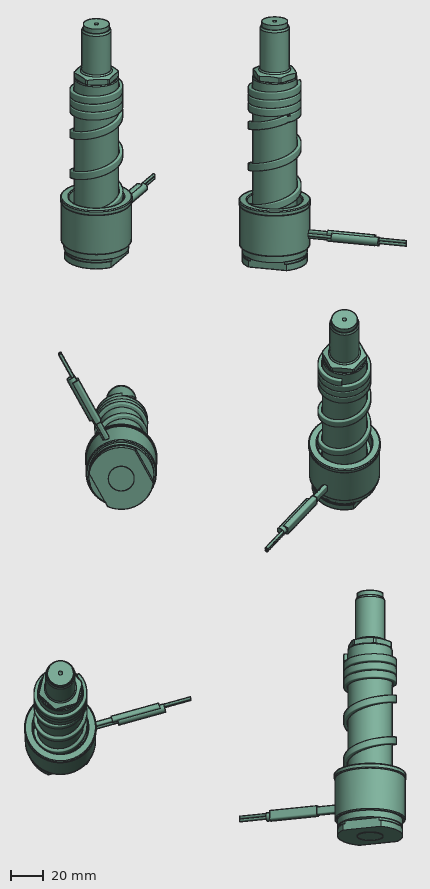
import cadquery as cq
import math

PART_TOP = 156.3
FOOT_BOTTOM = 0.5
FOOT_TOP = 4.5
NECK_TOP = 6.3
CUP_BOTTOM = 10.5
SPRING_SEAT = 11.0
CUP_LIP_BOTTOM = 37.0
CUP_TOP = 40.3
TUBE_TOP = 120.7
NUT_TOP = 125.0
ROOT_TOP = 126.0
SHANK_TOP = 152.0
TIP_BOTTOM = 153.3

CORE_RADIUS = 8.0
SHANK_RADIUS = 9.0
NUT_FACE_RADIUS = 9.8
NUT_CORNER_RADIUS = 13.6
TUBE_RADIUS = 13.6
NECK_RADIUS = 19.2
FOOT_RADIUS = 20.0
POCKET_RADIUS = 16.9
CUP_RADIUS = 21.5
LIP_RADIUS = 22.0
CENTRE_MARK_RADIUS = 1.3
CENTRE_MARK_DEPTH = 1.3

NUT_ACROSS_FLATS = 24.2
NUT_CONE_DROP = 1.1
FOOT_ACROSS_FLATS = 31.7
EDGE_BREAK = 0.6

SPRING_OUTER_RADIUS = 16.3
SPRING_INNER_RADIUS = 14.0
WIRE_HEIGHT = 4.7
WIRE_CORNER = 0.5
CLOSE_PITCH = 5.3
OPEN_PITCH = 26.9
SPRING_TOP_ANGLE = 120.0
UPPER_KINK_ANGLE = 45.0
CLOSE_TURNS = 3 + (SPRING_TOP_ANGLE - UPPER_KINK_ANGLE) / 360
OPEN_TURNS = 2.5
SPRING_SINK = 0.2

CABLE_Z = 19.4
CABLE_X = -1.4
CABLE_START = 18.8
CABLE_WIDTH = 2.8
CABLE_HEIGHT = 5.0
CABLE_CORNER = 0.6
JACKET_X = -1.5
JACKET_START = 33.3
JACKET_END = 63.6
JACKET_WIDTH = 3.9
JACKET_HEIGHT = 6.4
JACKET_CORNER = 1.1
SLEEVE_START = 36.5
SLEEVE_END = 66.5
SLEEVE_RADIUS = 2.7
SINGLE_WIRE_X = 0.3
WIRE_DIAMETER = 1.9
LEAD_END = 83.5


def disc(radius, bottom, top):
    return cq.Workplane("XY").workplane(offset=bottom).circle(radius).extrude(top - bottom)


def cone(bottom_radius, top_radius, bottom, top):
    return cq.Workplane(cq.Solid.makeCone(bottom_radius, top_radius, top - bottom, cq.Vector(0, 0, bottom)))


def make_foot():
    """Flanged foot with two flats facing -X and +X."""
    foot = disc(FOOT_RADIUS, FOOT_BOTTOM, FOOT_TOP).union(disc(NECK_RADIUS, FOOT_TOP, NECK_TOP))
    height = NECK_TOP - FOOT_BOTTOM
    flats = cq.Workplane("XY").box(FOOT_ACROSS_FLATS, 2 * FOOT_RADIUS, height)
    return foot.intersect(flats.translate((0, 0, FOOT_BOTTOM + height / 2)))


def make_cup():
    """Cup with a lip and a spring pocket chamfered at its mouth."""
    body = disc(CUP_RADIUS, CUP_BOTTOM, CUP_LIP_BOTTOM).faces("<Z").chamfer(EDGE_BREAK)
    lip = disc(LIP_RADIUS, CUP_LIP_BOTTOM, CUP_TOP).edges().chamfer(EDGE_BREAK)
    pocket = disc(POCKET_RADIUS, SPRING_SEAT, CUP_TOP)
    lead_in = cone(POCKET_RADIUS, POCKET_RADIUS + EDGE_BREAK, CUP_TOP - EDGE_BREAK, CUP_TOP)
    cup = disc(FOOT_RADIUS, NECK_TOP, CUP_BOTTOM).union(body).union(lip)
    return cup.cut(pocket).cut(lead_in)


def make_nut():
    """Hexagon with flats on -X and +X, rounded corners and a conical top."""
    hexagon = (
        cq.Workplane("XY").workplane(offset=TUBE_TOP)
        .polygon(6, NUT_ACROSS_FLATS / math.cos(math.radians(30)))
        .extrude(NUT_TOP - TUBE_TOP)
        .rotate((0, 0, 0), (0, 0, 1), 30)
    )
    shoulder = NUT_TOP - NUT_CONE_DROP
    envelope = disc(NUT_CORNER_RADIUS, TUBE_TOP, shoulder)
    envelope = envelope.union(cone(NUT_CORNER_RADIUS, NUT_FACE_RADIUS, shoulder, NUT_TOP))
    return hexagon.intersect(envelope)


def make_shank():
    """Shank above the nut: flared root and a bevelled shoulder under the tip."""
    root = cone(NUT_FACE_RADIUS, SHANK_RADIUS, NUT_TOP, ROOT_TOP)
    shank = disc(SHANK_RADIUS, NUT_TOP, SHANK_TOP)
    shoulder = cone(SHANK_RADIUS, SHANK_RADIUS - EDGE_BREAK, SHANK_TOP, TIP_BOTTOM)
    return root.union(shank).union(shoulder)


def make_coil(start_angle, start_z, pitch, turns):
    """Flat-wire coil rising from the given direction and wire-centre height."""
    mean_radius = (SPRING_OUTER_RADIUS + SPRING_INNER_RADIUS) / 2
    path = cq.Workplane(cq.Wire.makeHelix(pitch, pitch * turns, mean_radius))
    section = (
        cq.Sketch().rect(SPRING_OUTER_RADIUS - SPRING_INNER_RADIUS, WIRE_HEIGHT)
        .vertices(">X").fillet(WIRE_CORNER)
    )
    wire = cq.Workplane("XZ").center(mean_radius, 0).placeSketch(section).sweep(path, isFrenet=True)
    return wire.rotate((0, 0, 0), (0, 0, 1), start_angle).translate((0, 0, start_z))


def make_spring():
    close_rise = CLOSE_PITCH * CLOSE_TURNS
    lower_kink_angle = UPPER_KINK_ANGLE - 360 * OPEN_TURNS
    bottom_angle = lower_kink_angle - 360 * CLOSE_TURNS
    bottom_z = SPRING_SEAT - SPRING_SINK + WIRE_HEIGHT / 2
    lower_kink_z = bottom_z + close_rise
    upper_kink_z = lower_kink_z + OPEN_PITCH * OPEN_TURNS
    spring = make_coil(bottom_angle, bottom_z, CLOSE_PITCH, CLOSE_TURNS)
    spring = spring.union(make_coil(lower_kink_angle, lower_kink_z, OPEN_PITCH, OPEN_TURNS))
    return spring.union(make_coil(UPPER_KINK_ANGLE, upper_kink_z, CLOSE_PITCH, CLOSE_TURNS))


def along_y(x, z, start):
    """Workplane facing +Y with its origin at the given point."""
    return cq.Workplane(cq.Plane(origin=(x, start, z), xDir=(1, 0, 0), normal=(0, 1, 0)))


def rounded_bar(x, start, end, width, height, corner):
    bar = along_y(x, CABLE_Z, start).rect(width, height).extrude(end - start)
    return bar.edges("|Y").fillet(corner)


def round_bar(x, z, start, end, radius):
    return along_y(x, z, start).circle(radius).extrude(end - start)


def make_cable():
    """Flat cable in its jacket, a single wire in a round sleeve, two bare leads."""
    wire_radius = WIRE_DIAMETER / 2
    cable = rounded_bar(CABLE_X, CABLE_START, JACKET_END, CABLE_WIDTH, CABLE_HEIGHT, CABLE_CORNER)
    cable = cable.union(
        rounded_bar(JACKET_X, JACKET_START, JACKET_END, JACKET_WIDTH, JACKET_HEIGHT, JACKET_CORNER)
    )
    cable = cable.union(round_bar(SINGLE_WIRE_X, CABLE_Z, CABLE_START, SLEEVE_END, wire_radius))
    cable = cable.union(round_bar(0, CABLE_Z, SLEEVE_START, SLEEVE_END, SLEEVE_RADIUS))
    for side in (-1, 1):
        lead_z = CABLE_Z + side * wire_radius
        cable = cable.union(round_bar(CABLE_X, lead_z, JACKET_START, LEAD_END, wire_radius))
    return cable


core = disc(CORE_RADIUS, 0, PART_TOP)
tube = disc(TUBE_RADIUS, SPRING_SEAT, TUBE_TOP).faces(">Z").chamfer(EDGE_BREAK)
centre_mark = cone(0, CENTRE_MARK_RADIUS, PART_TOP - CENTRE_MARK_DEPTH, PART_TOP)

result = core.union(make_foot()).union(make_cup()).union(tube).union(make_nut()).union(make_shank())
result = result.union(make_cable()).union(make_spring()).cut(centre_mark)